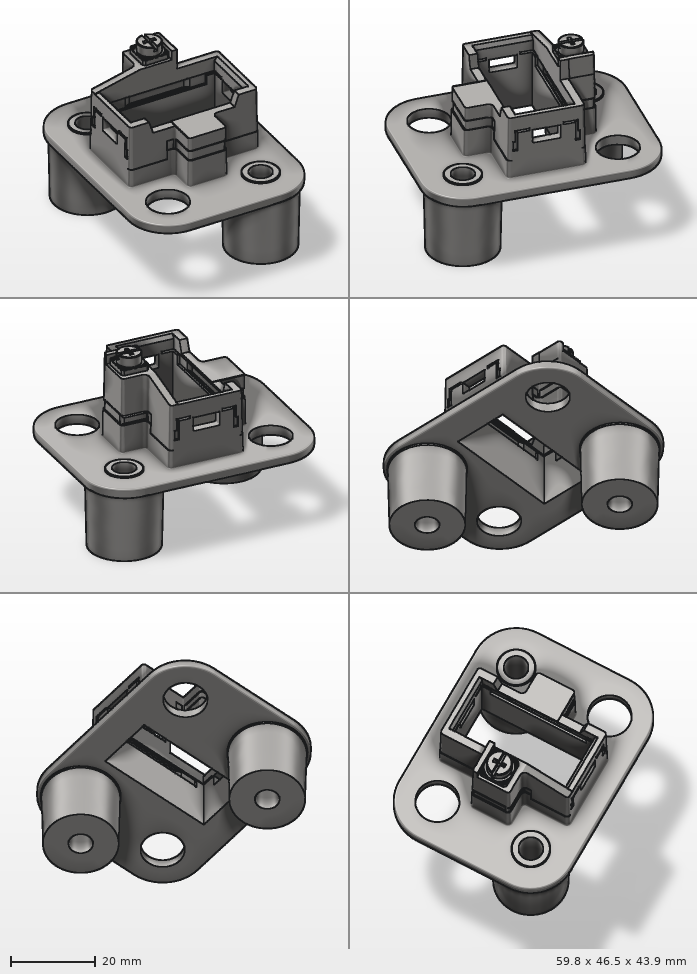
import cadquery as cq


MARGIN = 0.6

PLATE_X = 59.8
PLATE_Y = 46.5
PLATE_THICKNESS = 2.6
PLATE_CORNER_R = 10.8
PLATE_EDGE_R = 0.55

HOLE_X = 19.45
HOLE_Y = 12.7
CLEAR_HOLE_R = 5.25
SLEEVE_BORE_R = 2.95
SLEEVE_TOP_R = 9.4
SLEEVE_END_R = 9.0
SLEEVE_BOTTOM = -20.05
COLLAR_R = 9.55
COLLAR_HEIGHT = 0.4
RIM_R = 4.65
RIM_HEIGHT = 0.35
RIM_CHAMFER = 0.2

DRAFT = 1.0
BLOCK_HALF_X = 9.85
BLOCK_HALF_Y = 17.7
ARM_HALF_X = 16.55
ARM_HALF_Y = 5.4
TOWER_CORNER_R = 1.0
FOOT_STEP = 0.1
FOOT_FILLET = 0.35
FOOT_TOP = 4.9
FOOT_SHOULDER_TOP = 7.35
FOOT_SHOULDER_HALF_Y = 7.4

BACK_WALL_TOP = 22.2
LEFT_ARM_TOP = 19.75
BLOCK_TOP = 16.75
RIGHT_ARM_TOP = 13.65
RIGHT_WALL_DROP = 0.2
BACK_WALL_FRONT_Y = 3.65
ARM_TOP_HALF_Y = 5.1
NOTCH_TOP_HALF_Y = 12.25
NOTCH_FLOOR_HALF_Y = 11.1

BAND_BOTTOM = FOOT_SHOULDER_TOP
BAND_TOP = 9.9
BAND_DEPTH = 0.21
RIB_ROOT_Y = -4.7
RIB_FACE_Y = -5.2
RIB_BEVEL = 0.55

OPENING_HALF_X = 7.25
MOUTH_HALF_X = 7.5
OPENING_HALF_Y = 15.25
LEAD_IN_WIDTH = 0.85
LEAD_IN_DEPTH = 1.0
UNDERCUT_HALF_X = 7.9
UNDERCUT_HALF_Y = 13.05
POCKET_HALF_X = 8.45
POCKET_LONG_HALF_Y = 8.8
POCKET_SHORT_HALF_Y = 7.4
POCKET_BOTTOM = 10.3
POCKET_TOP = 12.7

LATCH_GAP_BOTTOM = 12.4
LATCH_GAP_TOP = 13.0
LATCH_GAP_INNER_X = 4.25
LATCH_GAP_DEPTH = 0.7
LATCH_HALF_X = 7.25
LATCH_FOOT_HALF_X = 8.45
LATCH_FOOT_BOTTOM = 7.4
LATCH_FOOT_TOP = 9.9
WINDOW_HALF_X = 3.5
WINDOW_BOTTOM = 8.8
WINDOW_CORNER_R = 0.4

SCREW_X = -11.9
SCREW_TOP = 23.85
HEAD_R = 3.05
HEAD_CHAMFER = 0.2
CLAMP_SIDE = 7.1
CLAMP_CORNER = 0.55
CLAMP_TOP = 21.2
CLAMP_GROOVE_RADII = (3.7, 4.3)
CLAMP_GROOVE_WIDTH = 0.25
CLAMP_GROOVE_DEPTH = 0.2
CLAMP_NOTCH_WIDTH = 0.5
CLAMP_NOTCH_DEPTH = 0.25
SLOT_WIDTH = 0.85
SLOT_DEPTH = 1.25
CROSS_TOP_LENGTH = 3.2
CROSS_FLOOR_LENGTH = 1.2
CROSS_DEPTH = 1.8


def box(x0, x1, y0, y1, z0, z1):
    """Box given by its limits along each axis."""
    return cq.Workplane("XY").box(x1 - x0, y1 - y0, z1 - z0, centered=False).translate((x0, y0, z0))


def prism_along_x(profile, x0, x1):
    """Prism between two X positions with a (Y, Z) polygon as its section."""
    return cq.Workplane("YZ", origin=(x0, 0, 0)).polyline(profile).close().extrude(x1 - x0)


def selection_box(x0, x1, y0, y1):
    """Selector for what lies near Z = 0 between the given X and Y limits, widened by the margin."""
    low = (x0 - MARGIN, y0 - MARGIN, -MARGIN)
    high = (x1 + MARGIN, y1 + MARGIN, MARGIN)
    return cq.selectors.BoxSelector(low, high)


def drafted_cross(grow_x, grow_y, top, sharp_corners=False):
    """Cross-shaped solid up to `top`, drafted from Z = 0 and with its outline moved outwards.

    With `sharp_corners` two diagonally opposite inner corners are left without their fillet.
    """
    block_x = BLOCK_HALF_X + grow_x
    block_y = BLOCK_HALF_Y + grow_y
    arm_x = ARM_HALF_X + grow_x
    arm_y = ARM_HALF_Y + grow_y
    cross = cq.Sketch().rect(2 * block_x, 2 * block_y).rect(2 * arm_x, 2 * arm_y).clean()
    rounded = selection_box(-arm_x, arm_x, -block_y, block_y)
    if sharp_corners:
        rounded = rounded - selection_box(-block_x, -block_x, arm_y, arm_y)
        rounded = rounded - selection_box(block_x, block_x, -arm_y, -arm_y)
    cross = cross.reset().vertices(rounded).fillet(TOWER_CORNER_R)
    return cq.Workplane("XY").placeSketch(cross).extrude(top, taper=DRAFT)


def mounting_plate():
    """Rounded rectangular plate with filleted rims."""
    plate = box(-PLATE_X / 2, PLATE_X / 2, -PLATE_Y / 2, PLATE_Y / 2, -PLATE_THICKNESS, 0)
    plate = plate.edges("|Z").fillet(PLATE_CORNER_R)
    return plate.faces("<Z or >Z").edges().fillet(PLATE_EDGE_R)


def add_tower_foot(plate):
    """Join the widest tier of the tower to the plate with a fillet all round."""
    body = plate.union(drafted_cross(FOOT_STEP, 0, FOOT_TOP))
    root_edges = selection_box(-ARM_HALF_X, ARM_HALF_X, -BLOCK_HALF_Y, BLOCK_HALF_Y)
    body = body.edges(root_edges).fillet(FOOT_FILLET)
    shoulder = drafted_cross(FOOT_STEP, 0, FOOT_SHOULDER_TOP)
    shoulder_zone = box(
        -PLATE_X, PLATE_X, -FOOT_SHOULDER_HALF_Y, FOOT_SHOULDER_HALF_Y, 0, FOOT_SHOULDER_TOP
    )
    return body.union(shoulder.intersect(shoulder_zone))


def tower_envelope():
    """Space under the stepped and sloping top of the tower."""
    far = PLATE_X / 2
    left_profile = [
        (-BLOCK_HALF_Y, 0),
        (-BLOCK_HALF_Y, BLOCK_TOP),
        (-ARM_TOP_HALF_Y, LEFT_ARM_TOP),
        (BACK_WALL_FRONT_Y, LEFT_ARM_TOP),
        (BACK_WALL_FRONT_Y, BACK_WALL_TOP),
        (ARM_TOP_HALF_Y, BACK_WALL_TOP),
        (ARM_TOP_HALF_Y, BLOCK_TOP),
        (BLOCK_HALF_Y, BLOCK_TOP),
        (BLOCK_HALF_Y, 0),
    ]
    right_profile = [
        (-BLOCK_HALF_Y, 0),
        (-BLOCK_HALF_Y, BLOCK_TOP),
        (-NOTCH_TOP_HALF_Y, BLOCK_TOP),
        (-NOTCH_FLOOR_HALF_Y, RIGHT_ARM_TOP - RIGHT_WALL_DROP),
        (-ARM_TOP_HALF_Y, RIGHT_ARM_TOP - RIGHT_WALL_DROP),
        (-ARM_TOP_HALF_Y, RIGHT_ARM_TOP),
        (NOTCH_FLOOR_HALF_Y, RIGHT_ARM_TOP),
        (NOTCH_TOP_HALF_Y, BLOCK_TOP),
        (BLOCK_HALF_Y, BLOCK_TOP),
        (BLOCK_HALF_Y, 0),
    ]
    left = prism_along_x(left_profile, -far, -MOUTH_HALF_X)
    middle = box(-MOUTH_HALF_X, MOUTH_HALF_X, -BLOCK_HALF_Y, BLOCK_HALF_Y, 0, BLOCK_TOP)
    right = prism_along_x(right_profile, MOUTH_HALF_X, far)
    return left.union(middle).union(right)


def arm_band():
    """Material removed around the arms to leave the recessed band."""
    zone = box(-PLATE_X, PLATE_X, -FOOT_SHOULDER_HALF_Y, FOOT_SHOULDER_HALF_Y, BAND_BOTTOM, BAND_TOP)
    ring = zone.cut(drafted_cross(-BAND_DEPTH, -BAND_DEPTH, BACK_WALL_TOP))
    block_sides = BLOCK_HALF_X - BAND_DEPTH
    ring = ring.cut(box(-block_sides, block_sides, -BLOCK_HALF_Y, BLOCK_HALF_Y, BAND_BOTTOM, BAND_TOP))
    rib_seat = box(-ARM_HALF_X, -block_sides, -ARM_HALF_Y, RIB_ROOT_Y, BAND_BOTTOM, BAND_TOP)
    return ring.union(rib_seat)


def arm_rib():
    """Bevelled rib across the -Y face of the left arm."""
    profile = [
        (RIB_ROOT_Y + MARGIN, BAND_BOTTOM),
        (RIB_ROOT_Y, BAND_BOTTOM),
        (RIB_FACE_Y, BAND_BOTTOM + RIB_BEVEL),
        (RIB_FACE_Y, BAND_TOP - RIB_BEVEL),
        (RIB_ROOT_Y, BAND_TOP),
        (RIB_ROOT_Y + MARGIN, BAND_TOP),
    ]
    rib = prism_along_x(profile, -ARM_HALF_X, -BLOCK_HALF_X + MARGIN)
    return rib.intersect(drafted_cross(0, 0, BACK_WALL_TOP))


def opening():
    """Central opening through tower and plate, with lead-in slopes at both ends."""
    lead_in_start = BLOCK_TOP - LEAD_IN_DEPTH
    mouth_half_y = OPENING_HALF_Y + LEAD_IN_WIDTH
    mouth_profile = [
        (-OPENING_HALF_Y, LATCH_GAP_BOTTOM),
        (-OPENING_HALF_Y, lead_in_start),
        (-mouth_half_y, BLOCK_TOP),
        (-mouth_half_y, BACK_WALL_TOP),
        (mouth_half_y, BACK_WALL_TOP),
        (mouth_half_y, BLOCK_TOP),
        (OPENING_HALF_Y, lead_in_start),
        (OPENING_HALF_Y, LATCH_GAP_BOTTOM),
    ]
    shaft = box(
        -OPENING_HALF_X, OPENING_HALF_X, -OPENING_HALF_Y, OPENING_HALF_Y, -PLATE_THICKNESS, BLOCK_TOP
    )
    mouth = prism_along_x(mouth_profile, -MOUTH_HALF_X, MOUTH_HALF_X)
    undercut = box(
        -UNDERCUT_HALF_X, UNDERCUT_HALF_X, -UNDERCUT_HALF_Y, UNDERCUT_HALF_Y, BAND_TOP, LATCH_GAP_TOP
    )
    pocket_outline = [
        (UNDERCUT_HALF_X, POCKET_LONG_HALF_Y),
        (POCKET_HALF_X, POCKET_SHORT_HALF_Y),
        (POCKET_HALF_X, -POCKET_SHORT_HALF_Y),
        (UNDERCUT_HALF_X, -POCKET_LONG_HALF_Y),
        (-UNDERCUT_HALF_X, -POCKET_LONG_HALF_Y),
        (-POCKET_HALF_X, -POCKET_SHORT_HALF_Y),
        (-POCKET_HALF_X, POCKET_SHORT_HALF_Y),
        (-UNDERCUT_HALF_X, POCKET_LONG_HALF_Y),
    ]
    side_pockets = cq.Workplane("XY", origin=(0, 0, POCKET_BOTTOM)).polyline(pocket_outline).close()
    side_pockets = side_pockets.extrude(POCKET_TOP - POCKET_BOTTOM)
    return shaft.union(mouth).union(undercut).union(side_pockets)


def end_wall_cuts():
    """Windows and latch gaps, the same in both end walls."""
    cuts = box(
        -WINDOW_HALF_X, WINDOW_HALF_X, -BLOCK_HALF_Y, BLOCK_HALF_Y, WINDOW_BOTTOM, LATCH_GAP_BOTTOM
    )
    cuts = cuts.edges("|Y and <Z").fillet(WINDOW_CORNER_R)
    y0 = -BLOCK_HALF_Y
    y1 = y0 + LATCH_GAP_DEPTH
    gap = box(
        LATCH_GAP_INNER_X, UNDERCUT_HALF_X, y0, BLOCK_HALF_Y, LATCH_GAP_BOTTOM, LATCH_GAP_TOP
    )
    upright = box(LATCH_HALF_X, UNDERCUT_HALF_X, y0, y1, LATCH_FOOT_BOTTOM, LATCH_GAP_TOP)
    foot = box(LATCH_HALF_X, LATCH_FOOT_HALF_X, y0, y1, LATCH_FOOT_BOTTOM, LATCH_FOOT_TOP)
    end_slots = upright.union(foot)
    side = gap.union(end_slots).union(end_slots.mirror("XZ"))
    return cuts.union(side).union(side.mirror("YZ"))


def terminal_screw():
    """Grooved square clamp plate and a screw whose slot is crossed by a short recess."""
    half_clamp = CLAMP_SIDE / 2
    clamp = box(-half_clamp, half_clamp, -half_clamp, half_clamp, LEFT_ARM_TOP, CLAMP_TOP)
    clamp = clamp.edges("|Z").chamfer(CLAMP_CORNER)
    for radius in CLAMP_GROOVE_RADII:
        groove = cq.Workplane("XY", origin=(0, 0, CLAMP_TOP - CLAMP_GROOVE_DEPTH)).circle(radius)
        groove = groove.circle(radius + CLAMP_GROOVE_WIDTH).extrude(CLAMP_GROOVE_DEPTH)
        clamp = clamp.cut(groove)
    half_notch = CLAMP_NOTCH_WIDTH / 2
    notch = box(-half_clamp, half_clamp, -half_notch, half_notch, CLAMP_TOP - CLAMP_NOTCH_DEPTH, CLAMP_TOP)
    clamp = clamp.cut(notch).cut(notch.rotate((0, 0, 0), (0, 0, 1), 90))
    head = cq.Workplane("XY", origin=(0, 0, LEFT_ARM_TOP)).circle(HEAD_R).extrude(SCREW_TOP - LEFT_ARM_TOP)
    head = head.faces(">Z").edges().chamfer(HEAD_CHAMFER)
    half_slot = SLOT_WIDTH / 2
    slot = box(-HEAD_R, HEAD_R, -half_slot, half_slot, SCREW_TOP - SLOT_DEPTH, SCREW_TOP)
    cross_profile = [
        (-CROSS_TOP_LENGTH / 2, SCREW_TOP),
        (CROSS_TOP_LENGTH / 2, SCREW_TOP),
        (CROSS_FLOOR_LENGTH / 2, SCREW_TOP - CROSS_DEPTH),
        (-CROSS_FLOOR_LENGTH / 2, SCREW_TOP - CROSS_DEPTH),
    ]
    cross_recess = prism_along_x(cross_profile, -half_slot, half_slot)
    return clamp.union(head).cut(slot).cut(cross_recess).translate((SCREW_X, 0, 0))


def sleeve():
    """Tapered tube under the plate, its root collar and the raised rim on top."""
    profile = [
        (0, RIM_HEIGHT),
        (RIM_R - RIM_CHAMFER, RIM_HEIGHT),
        (RIM_R, RIM_HEIGHT - RIM_CHAMFER),
        (RIM_R, -PLATE_THICKNESS),
        (COLLAR_R, -PLATE_THICKNESS),
        (SLEEVE_TOP_R, -PLATE_THICKNESS - COLLAR_HEIGHT),
        (SLEEVE_END_R, SLEEVE_BOTTOM),
        (0, SLEEVE_BOTTOM),
    ]
    return cq.Workplane("XZ").polyline(profile).close().revolve(360, (0, 0), (0, 1))


def hole(x, y, radius):
    """Vertical cutter through rim, plate and sleeve."""
    height = RIM_HEIGHT - SLEEVE_BOTTOM
    return cq.Workplane("XY", origin=(x, y, SLEEVE_BOTTOM)).circle(radius).extrude(height)


tower = drafted_cross(0, 0, BACK_WALL_TOP, sharp_corners=True).intersect(tower_envelope())
tower = tower.cut(arm_band()).union(arm_rib())

result = add_tower_foot(mounting_plate()).union(tower)
result = result.cut(opening()).cut(end_wall_cuts()).union(terminal_screw())

for side in (-1, 1):
    sleeve_x = side * HOLE_X
    hole_y = side * HOLE_Y
    result = result.union(sleeve().translate((sleeve_x, hole_y, 0)))
    result = result.cut(hole(sleeve_x, hole_y, SLEEVE_BORE_R))
    result = result.cut(hole(-sleeve_x, hole_y, CLEAR_HOLE_R))